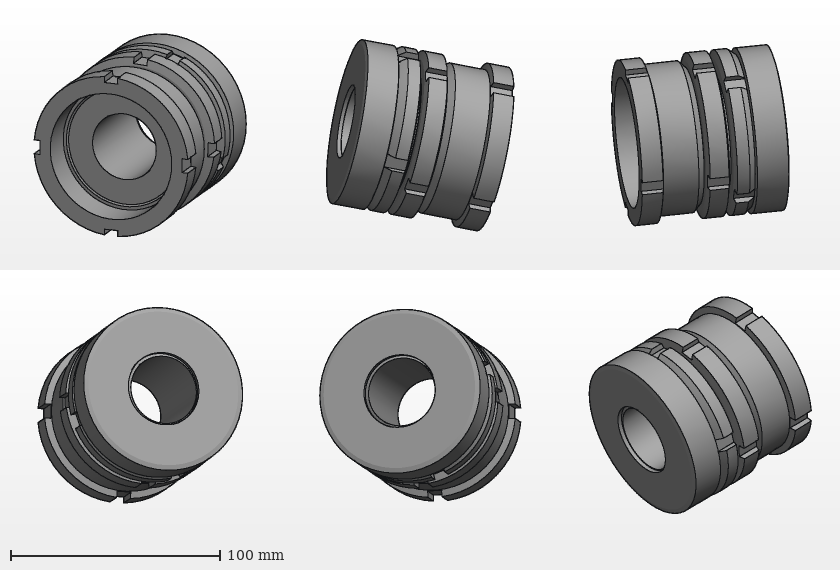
import cadquery as cq
import math

outer_radius = 39.9
through_radius = 16.5

slot_count = 4
slot_width = 6.9
slot_floor_radius = 36.9
nut_slot_angle = 2.6
ring_slot_angle = 19.3

rim_chamfer_angle = 15
rim_chamfer_slope = math.tan(math.radians(rim_chamfer_angle))
rim_chamfer_width = 4.0
rim_chamfer_length = rim_chamfer_width * rim_chamfer_slope

flange_length = 10.95
sleeve_length = 31.3
sleeve_radius = 36.6
sleeve_chamfer = 3.15
entry_bore_radius = 31.5
entry_bore_depth = 16.3
fit_radius = 28.9
fit_chamfer_width = 1.0
fit_chamfer_length = 0.5
flange_chamfer_length = (outer_radius - sleeve_radius) * rim_chamfer_slope

nut_front = 32.0
nut_length = 11.3
nut_rear = nut_front + nut_length
journal_radius = 30.0

neck_radius = 28.75
ring_front = 45.25
dome_edge = 52.4
dome_center = 25.0
dome_radius = math.hypot(outer_radius, dome_edge - dome_center)

disc_front = 55.9
disc_length = 16.4
disc_rear = disc_front + disc_length
disc_bore_radius = 17.7
disc_chamfer_width = 2.25
disc_chamfer_length = disc_chamfer_width * rim_chamfer_slope
disc_tilt_toward_x = 0.75
disc_tilt_toward_z = 0.2


def dome_height(radius):
    """Y position of the spherical surface at a distance from the axis."""
    return dome_center + math.sqrt(dome_radius**2 - radius**2)


def dome_radius_at(y):
    """Distance from the axis to the spherical surface at a Y position."""
    return math.sqrt(dome_radius**2 - (y - dome_center) ** 2)


def dome_midpoint(start_radius, end_radius):
    """(radius, y) point on the sphere between two distances from the axis."""
    radius = (start_radius + end_radius) / 2
    return radius, dome_height(radius)


def turn(profile):
    """Revolve a closed (radius, y) profile about the Y axis."""
    return profile.close().revolve(360, (0, 0), (0, 1))


def cut_spanner_slots(body, front, rear, first_angle):
    """Cut flat-floored slots across the outer rim, the first one turned from +Z toward +X."""
    slot_height = 2 * (outer_radius - slot_floor_radius)
    for index in range(slot_count):
        slot = (
            cq.Workplane("XY")
            .box(slot_width, rear - front, slot_height, centered=(True, False, False))
            .translate((0, front, slot_floor_radius))
            .rotate((0, 0, 0), (0, 1, 0), first_angle + index * 360 / slot_count)
        )
        body = body.cut(slot)
    return body


def make_sleeve():
    body = turn(
        cq.Workplane("XY")
        .moveTo(entry_bore_radius, 0)
        .lineTo(outer_radius, 0)
        .lineTo(outer_radius, flange_length - flange_chamfer_length)
        .lineTo(sleeve_radius, flange_length)
        .lineTo(sleeve_radius, sleeve_length - sleeve_chamfer)
        .lineTo(sleeve_radius - sleeve_chamfer, sleeve_length)
        .lineTo(fit_radius, sleeve_length)
        .lineTo(fit_radius, entry_bore_depth + fit_chamfer_length)
        .lineTo(fit_radius + fit_chamfer_width, entry_bore_depth)
        .lineTo(entry_bore_radius, entry_bore_depth)
    )
    return cut_spanner_slots(body, 0, flange_length, 0)


def make_lock_nut():
    body = turn(
        cq.Workplane("XY")
        .moveTo(journal_radius, nut_front)
        .lineTo(outer_radius - rim_chamfer_width, nut_front)
        .lineTo(outer_radius, nut_front + rim_chamfer_length)
        .lineTo(outer_radius, nut_rear - rim_chamfer_length)
        .lineTo(outer_radius - rim_chamfer_width, nut_rear)
        .lineTo(journal_radius, nut_rear)
    )
    return cut_spanner_slots(body, nut_front, nut_rear, nut_slot_angle)


def make_domed_ring():
    shank_end = entry_bore_depth + fit_chamfer_length
    body = turn(
        cq.Workplane("XY")
        .moveTo(through_radius, shank_end)
        .lineTo(fit_radius, shank_end)
        .lineTo(fit_radius, sleeve_length)
        .lineTo(journal_radius, sleeve_length)
        .lineTo(journal_radius, nut_rear)
        .lineTo(neck_radius, nut_rear)
        .lineTo(neck_radius, ring_front)
        .lineTo(outer_radius - rim_chamfer_width, ring_front)
        .lineTo(outer_radius, ring_front + rim_chamfer_length)
        .lineTo(outer_radius, dome_edge)
        .threePointArc(
            dome_midpoint(outer_radius, through_radius),
            (through_radius, dome_height(through_radius)),
        )
    )
    return cut_spanner_slots(body, ring_front, disc_rear, ring_slot_angle)


def make_levelling_disc():
    seat_edge_radius = dome_radius_at(disc_front)
    straight_disc = turn(
        cq.Workplane("XY")
        .moveTo(seat_edge_radius, disc_front)
        .lineTo(outer_radius - disc_chamfer_width, disc_front)
        .lineTo(outer_radius, disc_front + disc_chamfer_length)
        .lineTo(outer_radius, disc_rear - disc_chamfer_length)
        .lineTo(outer_radius - disc_chamfer_width, disc_rear)
        .lineTo(disc_bore_radius, disc_rear)
        .lineTo(disc_bore_radius, dome_height(disc_bore_radius))
        .threePointArc(
            dome_midpoint(disc_bore_radius, seat_edge_radius),
            (seat_edge_radius, disc_front),
        )
    )
    pivot = (0, dome_center, 0)
    return straight_disc.rotate(pivot, (0, dome_center, 1), -disc_tilt_toward_x).rotate(
        pivot, (1, dome_center, 0), disc_tilt_toward_z
    )


sleeve = make_sleeve()
lock_nut = make_lock_nut()
domed_ring = make_domed_ring()
levelling_disc = make_levelling_disc()

result = cq.Compound.makeCompound(
    [sleeve.val(), lock_nut.val(), domed_ring.val(), levelling_disc.val()]
)